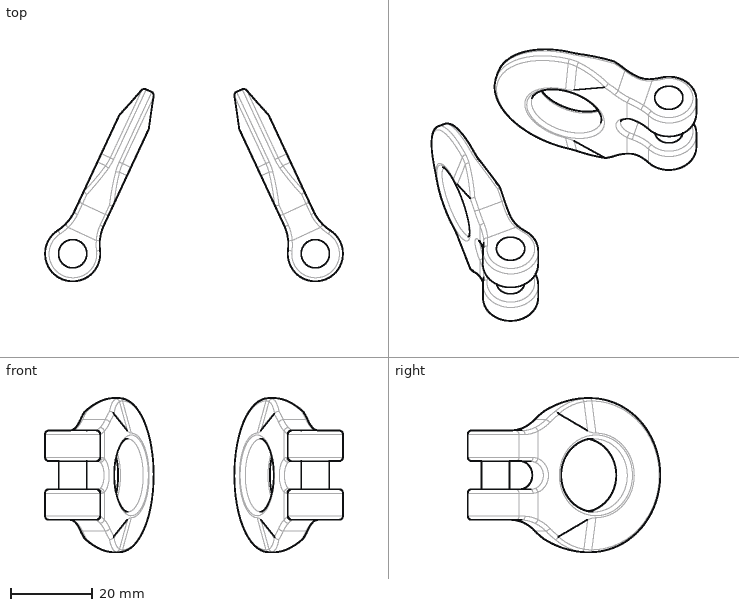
import cadquery as cq
import math


overall_width = 73.4
link_angle = 65.0

pin_diameter = 7.0
eye_radius = 6.8
fork_width = 22.0
slot_width = 6.9
slot_end = 11.5

plate_thickness = 8.1
neck_radius = 11.15
ring_radius = 19.0
hole_diameter = 18.0
fork_blend_start = 5.4
fork_blend_radius = 9.8

shoulder_radius = 10.4
rim_thickness = 2.95
flare_radius = 4.8
flare_angle = 28.0

edge_fillet = 0.95

half_plate = plate_thickness / 2
half_fork = fork_width / 2
pin_spacing = overall_width - 2 * eye_radius
fork_blend_z = half_fork + fork_blend_radius
ring_x = fork_blend_start + math.sqrt((ring_radius + fork_blend_radius) ** 2 - fork_blend_z**2)
taper = (plate_thickness - rim_thickness) / 2 / (ring_radius - shoulder_radius)
clearance = 0.7


def fork_and_ring_outline():
    """Block with the fork-and-ring outline seen across the plate."""
    blend_angle = math.atan2(ring_x - fork_blend_start, fork_blend_z)
    mid_x = fork_blend_start + fork_blend_radius * math.sin(blend_angle / 2)
    mid_z = fork_blend_z - fork_blend_radius * math.cos(blend_angle / 2)
    ring_start_x = ring_x - ring_radius * math.sin(blend_angle)
    ring_start_z = ring_radius * math.cos(blend_angle)
    return (
        cq.Workplane("XZ")
        .moveTo(-eye_radius - clearance, half_fork)
        .lineTo(fork_blend_start, half_fork)
        .threePointArc((mid_x, mid_z), (ring_start_x, ring_start_z))
        .threePointArc((ring_x + ring_radius, 0), (ring_start_x, -ring_start_z))
        .threePointArc((mid_x, -mid_z), (fork_blend_start, -half_fork))
        .lineTo(-eye_radius - clearance, -half_fork)
        .close()
        .extrude(eye_radius + clearance, both=True)
    )


def eye_and_plate_profile():
    """Block with the profile seen along the pin: round eye, necking down to a flat plate."""
    neck_y = half_plate + neck_radius
    neck_x = math.sqrt((eye_radius + neck_radius) ** 2 - neck_y**2)
    neck_angle = math.atan2(neck_x, neck_y)
    eye_x = eye_radius * math.sin(neck_angle)
    eye_y = eye_radius * math.cos(neck_angle)
    mid_x = neck_x - neck_radius * math.sin(neck_angle / 2)
    mid_y = neck_y - neck_radius * math.cos(neck_angle / 2)
    plate_end = ring_x + ring_radius + clearance
    return (
        cq.Workplane("XY")
        .moveTo(plate_end, half_plate)
        .lineTo(neck_x, half_plate)
        .threePointArc((mid_x, mid_y), (eye_x, eye_y))
        .threePointArc((-eye_radius, 0), (eye_x, -eye_y))
        .threePointArc((mid_x, -mid_y), (neck_x, -half_plate))
        .lineTo(plate_end, -half_plate)
        .close()
        .extrude(ring_radius + clearance, both=True)
    )


def half_cone_cutter():
    """Cutter that thins the far half of the ring on its +Y face, sloping out from the shoulder."""
    outer_radius = ring_radius + clearance
    return (
        cq.Workplane("XY")
        .moveTo(shoulder_radius, half_plate)
        .lineTo(outer_radius, half_plate - taper * (outer_radius - shoulder_radius))
        .lineTo(outer_radius, half_plate + clearance)
        .lineTo(shoulder_radius, half_plate + clearance)
        .close()
        .revolve(180, (0, 0), (0, 1))
        .rotate((0, 0, 0), (0, 1, 0), -90)
        .translate((ring_x, 0, 0))
    )


def flare_cutter():
    """Cutter that carries the taper on from the half cone towards the fork on the +Y face, at +Z.

    The shoulder bends away from the hole in a short arc and runs straight to the outline. The
    region outside it is extruded along the slope of the taper.
    """
    angle = math.radians(flare_angle)
    bend_z = shoulder_radius + flare_radius
    far_z = ring_radius + clearance
    bend_end = (ring_x - flare_radius * math.sin(angle), bend_z - flare_radius * math.cos(angle))
    bend_middle = (ring_x - flare_radius * math.sin(angle / 2), bend_z - flare_radius * math.cos(angle / 2))
    straight_length = (far_z - bend_end[1]) / math.tan(angle)
    region = (
        cq.Workplane("XZ", origin=(0, half_plate, 0))
        .moveTo(ring_x, shoulder_radius)
        .threePointArc(bend_middle, bend_end)
        .lineTo(bend_end[0] - straight_length, far_z)
        .lineTo(ring_x, far_z)
        .close()
        .wire()
    )
    run = far_z - shoulder_radius
    return cq.Workplane(cq.Solid.extrudeLinear(region.val(), [], cq.Vector(0, -taper * run, run)))


def taper_cutters():
    """All cutters that thin the ring, on both faces and on both sides of the fork."""
    upper_flare = flare_cutter()
    face_cutters = [half_cone_cutter(), upper_flare, upper_flare.mirror("XY")]
    return face_cutters + [cutter.mirror("XZ") for cutter in face_cutters]


def fork_slot():
    """Round-bottomed slot between the fork eyes."""
    half_slot = slot_width / 2
    straight_end = slot_end - half_slot
    slot_start = -eye_radius - clearance
    return (
        cq.Workplane("XZ")
        .moveTo(slot_start, half_slot)
        .lineTo(straight_end, half_slot)
        .threePointArc((slot_end, 0), (straight_end, -half_slot))
        .lineTo(slot_start, -half_slot)
        .close()
        .extrude(eye_radius + clearance, both=True)
    )


def ring_hole():
    """Through hole of the ring."""
    return (
        cq.Workplane("XZ", origin=(ring_x, plate_thickness, 0))
        .circle(hole_diameter / 2)
        .extrude(2 * plate_thickness)
    )


def pin():
    """Clevis pin on the Z axis, flush with the outer fork faces."""
    return (
        cq.Workplane("XY", origin=(0, 0, -half_fork))
        .circle(pin_diameter / 2)
        .extrude(fork_width)
    )


def is_rounded_edge(edge):
    """True for every curved edge except the shoulders where the tapered faces begin."""
    if edge.geomType() == "LINE":
        return False
    if edge.geomType() != "CIRCLE":
        return True
    shoulder_radii = (shoulder_radius, flare_radius)
    return not any(math.isclose(edge.radius(), radius) for radius in shoulder_radii)


def link():
    """One shackle link with its pin axis on Z and its ring towards +X."""
    body = fork_and_ring_outline().intersect(eye_and_plate_profile())
    for cutter in taper_cutters():
        body = body.cut(cutter)
    body = body.cut(fork_slot()).cut(ring_hole())
    rounded_edges = [edge for edge in body.edges().vals() if is_rounded_edge(edge)]
    body = body.newObject(rounded_edges).fillet(edge_fillet)
    return body.cut(pin())


def placed(body, side):
    """The body turned and moved to the left (side -1) or right (side +1) of the pair."""
    angle = 90 + side * (90 - link_angle)
    return body.rotate((0, 0, 0), (0, 0, 1), angle).translate((side * pin_spacing / 2, 0, 0))


links = [placed(link(), side) for side in (-1, 1)]
pins = [placed(pin(), side) for side in (-1, 1)]
result = cq.Compound.makeCompound([body.val() for body in links + pins])